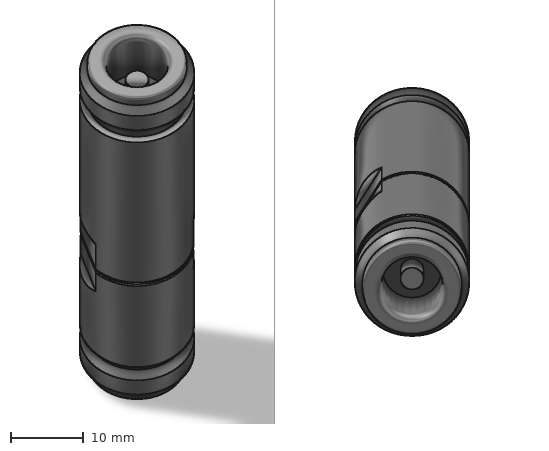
import cadquery as cq

length = 63.1
body_radius = 7.855
body_end_offset = 8.0
lower_body_chamfer = 0.2

groove_bottom = 25.3
groove_width = 0.55
groove_radius = 5.7

neck_radius = 6.8
collar_start = 1.45
collar_end = 6.5
collar_cone = body_radius - neck_radius
nose_fillet = 0.5

bore_mouth_radius = 4.2
bore_floor_radius = 4.05
bore_mouth_fillet = 1.1
bore_depth = 7.6
pin_radius = 1.6
pin_recess = 3.9

flat_distance = 7.0
flat_bottom = 21.3
flat_top = 31.0
flat_runout = body_radius - flat_distance


def cylinder(radius, bottom, top):
    return cq.Workplane("XY").workplane(offset=bottom).circle(radius).extrude(top - bottom)


def make_body():
    groove_top = groove_bottom + groove_width
    lower = cylinder(body_radius, body_end_offset, groove_bottom).edges().chamfer(lower_body_chamfer)
    groove_core = cylinder(groove_radius, groove_bottom, groove_top)
    upper = cylinder(body_radius, groove_top, length - body_end_offset)
    return lower.union(groove_core).union(upper)


def cut_flats(body):
    outer = flat_distance + flat_runout
    notch = (
        cq.Workplane("YZ")
        .moveTo(flat_distance, flat_bottom)
        .lineTo(outer, flat_bottom - flat_runout)
        .lineTo(outer, flat_top + flat_runout)
        .lineTo(flat_distance, flat_top)
        .close()
        .extrude(body_radius, both=True)
    )
    return body.cut(notch).cut(notch.mirror("XZ"))


def make_connector():
    """Bottom connector: neck, coned collar, and a tapered socket around a centre pin."""
    neck = cylinder(neck_radius, 0, body_end_offset).faces("<Z").edges().fillet(nose_fillet)
    collar = (
        cq.Workplane("XZ")
        .moveTo(0, collar_start)
        .lineTo(neck_radius, collar_start)
        .lineTo(body_radius, collar_start + collar_cone)
        .lineTo(body_radius, collar_end - collar_cone)
        .lineTo(neck_radius, collar_end)
        .lineTo(0, collar_end)
        .close()
        .revolve(360, (0, 0, 0), (0, 1, 0))
    )
    bore = cq.Workplane("XY").circle(bore_mouth_radius)
    bore = bore.workplane(offset=bore_depth).circle(bore_floor_radius).loft(ruled=True)
    shell = neck.union(collar).cut(bore)
    mouth = cq.selectors.RadiusNthSelector(0)
    shell = shell.faces("<Z").edges(mouth).fillet(bore_mouth_fillet)
    return shell.union(cylinder(pin_radius, pin_recess, body_end_offset))


bottom_connector = make_connector()
top_connector = bottom_connector.mirror("XY", (0, 0, length / 2))
result = cut_flats(make_body()).union(bottom_connector).union(top_connector)